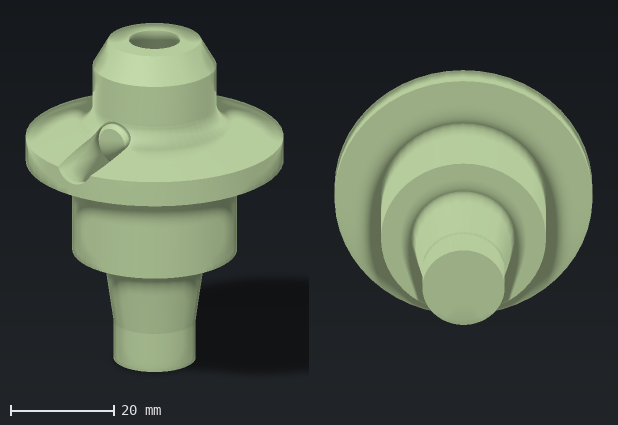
import cadquery as cq
import math

TIP_DIAMETER = 16.0
TAPER_TOP_DIAMETER = 20.1
SHANK_DIAMETER = 32.0
FLANGE_DIAMETER = 50.0
NECK_DIAMETER = 24.0
TOP_DIAMETER = 18.0

TIP_TOP = 7.9
SHANK_BOTTOM = 22.5
FLANGE_BOTTOM = 41.0
FLANGE_RIM_TOP = 46.0
TOP_CHAMFER_START = 60.8
TOTAL_HEIGHT = 66.0

FLANGE_SLOPE = math.radians(15)
NECK_FILLET_RADIUS = 4.0

BORE_DIAMETER = 10.0
BORE_DEPTH = 19.8

GROOVE_DIAMETER = 9.0
GROOVE_END_DISTANCE = 11.75
PIN_DIAMETER = 8.0
PIN_CHAMFER = 0.7
PIN_REACH = 13.0
PIN_HEIGHT = 48.0


def make_body():
    """Revolve the stepped outline, with a round between flange cone and neck."""
    flange_radius = FLANGE_DIAMETER / 2
    neck_radius = NECK_DIAMETER / 2

    arc_center_radius = neck_radius + NECK_FILLET_RADIUS
    cone_tangent_radius = arc_center_radius - NECK_FILLET_RADIUS * math.sin(FLANGE_SLOPE)
    cone_tangent_z = FLANGE_RIM_TOP + (flange_radius - cone_tangent_radius) * math.tan(FLANGE_SLOPE)
    arc_center_z = cone_tangent_z + NECK_FILLET_RADIUS * math.cos(FLANGE_SLOPE)
    arc_middle_angle = (math.pi + math.radians(270) - FLANGE_SLOPE) / 2
    arc_middle = (
        arc_center_radius + NECK_FILLET_RADIUS * math.cos(arc_middle_angle),
        arc_center_z + NECK_FILLET_RADIUS * math.sin(arc_middle_angle),
    )

    return (
        cq.Workplane("XZ")
        .lineTo(TIP_DIAMETER / 2, 0)
        .lineTo(TIP_DIAMETER / 2, TIP_TOP)
        .lineTo(TAPER_TOP_DIAMETER / 2, SHANK_BOTTOM)
        .lineTo(SHANK_DIAMETER / 2, SHANK_BOTTOM)
        .lineTo(SHANK_DIAMETER / 2, FLANGE_BOTTOM)
        .lineTo(flange_radius, FLANGE_BOTTOM)
        .lineTo(flange_radius, FLANGE_RIM_TOP)
        .lineTo(cone_tangent_radius, cone_tangent_z)
        .threePointArc(arc_middle, (neck_radius, arc_center_z))
        .lineTo(neck_radius, TOP_CHAMFER_START)
        .lineTo(TOP_DIAMETER / 2, TOTAL_HEIGHT)
        .lineTo(0, TOTAL_HEIGHT)
        .close()
        .revolve(360, (0, 0, 0), (0, 1, 0))
    )


def radial_cylinder(diameter, start, end):
    """Cylinder along -Y at pin height, between two distances from the axis."""
    return (
        cq.Workplane("XZ", origin=(0, -start, PIN_HEIGHT))
        .circle(diameter / 2)
        .extrude(end - start)
    )


def make_bore():
    """Blind bore from the top face."""
    return (
        cq.Workplane("XY", origin=(0, 0, TOTAL_HEIGHT - BORE_DEPTH))
        .circle(BORE_DIAMETER / 2)
        .extrude(BORE_DEPTH)
    )


groove = radial_cylinder(GROOVE_DIAMETER, GROOVE_END_DISTANCE, FLANGE_DIAMETER / 2)
pin_root = (BORE_DIAMETER / 2 + GROOVE_END_DISTANCE) / 2
pin = radial_cylinder(PIN_DIAMETER, pin_root, PIN_REACH).faces("<Y").chamfer(PIN_CHAMFER)

result = make_body().cut(groove).union(pin).cut(make_bore())